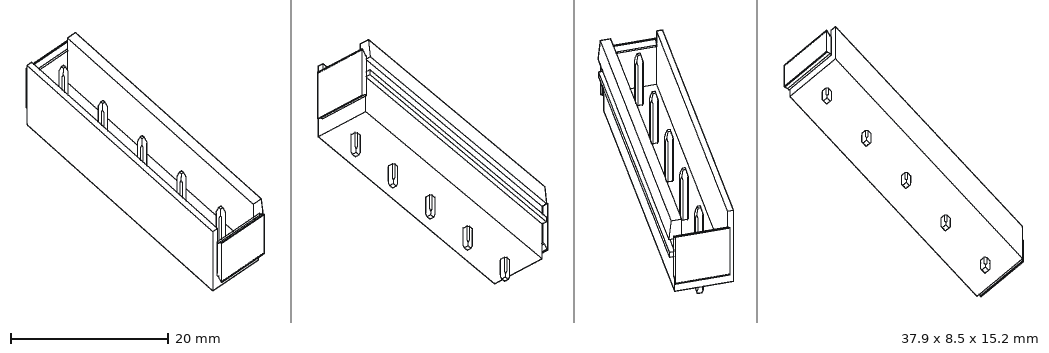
import cadquery as cq


overall_length = 37.9
housing_length = 36.0
housing_depth = 7.75
housing_height = 12.0
front_wall = 0.8
back_wall_inner_y = 6.82
floor_thickness = 3.0

hook_bottom_z = 8.9
hook_tip_y = 8.5
hook_top_y = 8.2
rib_bottom_z = 5.9
rib_top_z = 6.75
rib_outer_y = 8.4

plate_front_y = 0.7
plate_width = 7.2
plate_bottom_z = 2.05
plate_height = 7.92
plate_lip = 0.1
plate_flare = 0.53
plate_rim_run = 0.05
plate_rim_rise = 0.08

pin_count = 5
pin_pitch = 7.6
pin_row_shift = -0.08
pin_y = 3.83
pin_width = 1.05
pin_edge_chamfer = 0.23
top_tip_width = 0.38
bottom_tip_width = 0.6
pin_top_drop = 0.87
pin_top_z = housing_height - pin_top_drop
pin_bottom_z = -3.2
top_taper_length = 1.35
bottom_taper_length = 0.87

pin_xs = [pin_row_shift + (i - (pin_count - 1) / 2) * pin_pitch for i in range(pin_count)]


def make_trough():
    """Constant Y-Z section: floor, two long walls, hook and rib."""
    return (
        cq.Workplane("YZ", origin=(-housing_length / 2, 0, 0))
        .moveTo(0, 0)
        .lineTo(housing_depth, 0)
        .lineTo(housing_depth, rib_bottom_z)
        .lineTo(rib_outer_y, rib_bottom_z)
        .lineTo(rib_outer_y, rib_top_z)
        .lineTo(housing_depth, rib_top_z)
        .lineTo(housing_depth, hook_bottom_z)
        .lineTo(hook_tip_y, hook_bottom_z)
        .lineTo(hook_top_y, housing_height)
        .lineTo(back_wall_inner_y, housing_height)
        .lineTo(back_wall_inner_y, floor_thickness)
        .lineTo(front_wall, floor_thickness)
        .lineTo(front_wall, housing_height)
        .lineTo(0, housing_height)
        .close()
        .extrude(housing_length)
    )


def make_end_plate(side):
    """Plate on one end (side is -1 or +1) whose top and bottom flare outwards.

    Going outwards, each flare is a flat neck, a 45 degree slope, a short steep rim and a narrow lip.
    """
    inner_x = side * housing_length / 2
    outer_x = side * overall_length / 2
    rim_outer_x = outer_x - side * plate_lip
    rim_inner_x = rim_outer_x - side * plate_rim_run
    neck_end_x = rim_inner_x - side * plate_flare
    top_z = plate_bottom_z + plate_height
    rim_top_z = top_z - plate_rim_rise
    rim_bottom_z = plate_bottom_z + plate_rim_rise
    neck_top_z = rim_top_z - plate_flare
    neck_bottom_z = rim_bottom_z + plate_flare
    return (
        cq.Workplane("XZ", origin=(0, plate_front_y, 0))
        .moveTo(inner_x, neck_top_z)
        .lineTo(neck_end_x, neck_top_z)
        .lineTo(rim_inner_x, rim_top_z)
        .lineTo(rim_outer_x, top_z)
        .lineTo(outer_x, top_z)
        .lineTo(outer_x, plate_bottom_z)
        .lineTo(rim_outer_x, plate_bottom_z)
        .lineTo(rim_inner_x, rim_bottom_z)
        .lineTo(neck_end_x, neck_bottom_z)
        .lineTo(inner_x, neck_bottom_z)
        .close()
        .extrude(-plate_width)
    )


def make_taper(base_z, tip_z, tip_width):
    """Square pyramid frustum from the full pin width down to the given tip width."""
    return (
        cq.Workplane("XY", origin=(0, 0, base_z))
        .rect(pin_width, pin_width)
        .workplane(offset=tip_z - base_z)
        .rect(tip_width, tip_width)
        .loft()
    )


def make_shank(bottom_z, top_z):
    """Square bar with chamfered long edges, centred on the Z axis."""
    return (
        cq.Workplane("XY", origin=(0, 0, bottom_z))
        .rect(pin_width, pin_width)
        .extrude(top_z - bottom_z)
        .edges("|Z")
        .chamfer(pin_edge_chamfer)
    )


def make_pin(x):
    """Pin with pointed ends, standing in the housing floor at the given X."""
    top_taper_z = pin_top_z - top_taper_length
    bottom_taper_z = pin_bottom_z + bottom_taper_length
    core = (
        cq.Workplane("XY", origin=(0, 0, bottom_taper_z))
        .rect(pin_width, pin_width)
        .extrude(top_taper_z - bottom_taper_z)
    )
    pointed_bar = (
        core.union(make_taper(top_taper_z, pin_top_z, top_tip_width))
        .union(make_taper(bottom_taper_z, pin_bottom_z, bottom_tip_width))
    )
    return pointed_bar.intersect(make_shank(pin_bottom_z, pin_top_z)).translate((x, pin_y, 0))


def make_housing():
    """Trough with both end plates and one fitted hole per pin."""
    body = make_trough()
    for side in (-1, 1):
        body = body.union(make_end_plate(side))
    for x in pin_xs:
        body = body.cut(make_shank(0, floor_thickness).translate((x, pin_y, 0)))
    return body


housing = make_housing()
pins = [make_pin(x) for x in pin_xs]

result = cq.Compound.makeCompound([housing.val(), *[pin.val() for pin in pins]])